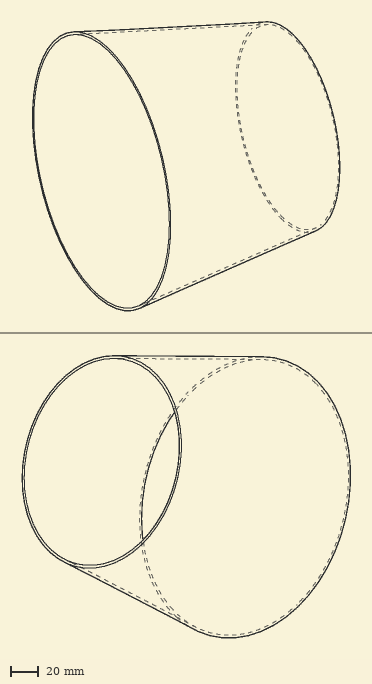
import cadquery as cq

wide_diameter = 204.0
narrow_diameter = 154.0
length = 152.0
wall = 2.0

wide_radius = wide_diameter / 2
narrow_radius = narrow_diameter / 2
wide_end_y = -length / 2
narrow_end_y = length / 2

wall_section = cq.Workplane("XY").polyline(
    [
        (wide_radius, wide_end_y),
        (narrow_radius, narrow_end_y),
        (narrow_radius - wall, narrow_end_y),
        (wide_radius - wall, wide_end_y),
    ]
).close()

result = wall_section.revolve(360, (0, 0, 0), (0, 1, 0))